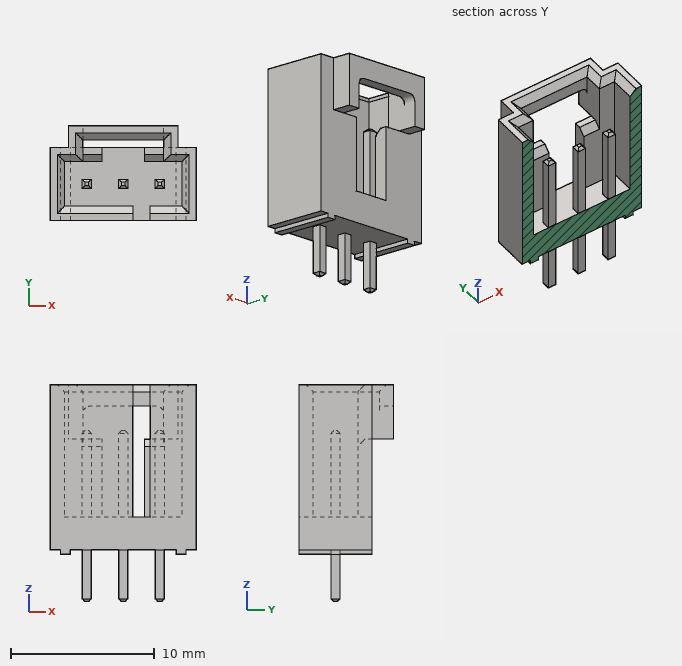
import cadquery as cq


body_width = 10.17
body_depth = 5.1
body_height = 11.5
body_front = -body_depth / 2
body_back = body_depth / 2
wall = 1.0
floor_height = 2.3

hood_width = 7.62
hood_overhang = 1.5
hood_height = 3.8
hood_back = body_back + hood_overhang
hood_bottom = body_height - hood_height

bevel = 0.5

hood_beam_height = 1.5
window_corner_radius = 0.5
latch_slot_width = 2.95
key_slot_width = 1.2

foot_width = 0.7
foot_height = 0.3
foot_spacing = 8.06

pin_count = 3
pin_pitch = 2.54
pin_side = 0.64
pin_tip_side = 0.25
pin_tip_length = 0.2
pin_tail = 3.6
pin_top = 8.3

key_slot_x = pin_pitch / 2
cavity_width = body_width - 2 * wall
hood_cavity_width = hood_width - 2 * wall
cavity_front = body_front + wall
cavity_back = body_back - wall
hood_cavity_back = hood_back - wall


def block(x_center, width, y_front, y_back, z_bottom, z_top):
    """Box centred on x_center with explicit Y and Z limits."""
    return (
        cq.Workplane("XY")
        .box(width, y_back - y_front, z_top - z_bottom, centered=(True, False, False))
        .translate((x_center, y_front, z_bottom))
    )


def beveled_pocket(width, y_front, y_back, z_bottom):
    """Pocket open at the housing top, flaring outwards over the lead-in bevel."""
    shaft = block(0, width, y_front, y_back, z_bottom, body_height)
    depth = y_back - y_front
    mouth = (
        cq.Workplane("XY")
        .workplane(offset=body_height - bevel)
        .center(0, (y_front + y_back) / 2)
        .rect(width, depth)
        .workplane(offset=bevel)
        .rect(width + 2 * bevel, depth + 2 * bevel)
        .loft(ruled=True)
    )
    return shaft.union(mouth)


def make_shell():
    """Housing and hood with the stepped mating cavity."""
    body = block(0, body_width, body_front, body_back, 0, body_height)
    hood = block(0, hood_width, body_front, hood_back, hood_bottom, body_height)
    main_cavity = beveled_pocket(cavity_width, cavity_front, cavity_back, floor_height)
    hood_cavity = beveled_pocket(hood_cavity_width, cavity_front, hood_cavity_back, hood_bottom)
    return body.union(hood).cut(main_cavity).cut(hood_cavity)


def make_latch_window():
    """Opening through the hood back, below its beam, with rounded upper corners."""
    beam_bottom = body_height - hood_beam_height
    opening = block(0, hood_cavity_width, cavity_back, hood_back, hood_bottom, beam_bottom)
    return opening.edges("|Y and >Z").fillet(window_corner_radius)


def make_latch_slot():
    """Slot through the back wall, from the cavity floor up to the hood."""
    return block(0, latch_slot_width, cavity_back, body_back, floor_height, hood_bottom)


def make_ledge_bevel():
    """Wedge that bevels the inner top edge of the back wall under the hood."""
    return (
        cq.Workplane("YZ")
        .moveTo(cavity_back, hood_bottom)
        .lineTo(cavity_back + bevel, hood_bottom)
        .lineTo(cavity_back, hood_bottom - bevel)
        .close()
        .extrude(hood_cavity_width / 2, both=True)
    )


def make_key_slot():
    """Slot through the front wall, from the cavity floor to the top."""
    return block(key_slot_x, key_slot_width, body_front, cavity_front, floor_height, body_height)


def make_foot(x_center):
    """Standoff strip running the full depth of the housing."""
    return block(x_center, foot_width, body_front, body_back, -foot_height, 0)


def pin_tip(x_center, z_base, direction):
    """Tapered pin end pointing up (direction 1) or down (direction -1)."""
    return (
        cq.Workplane("XY")
        .workplane(offset=z_base)
        .center(x_center, 0)
        .rect(pin_side, pin_side)
        .workplane(offset=direction * pin_tip_length)
        .rect(pin_tip_side, pin_tip_side)
        .loft(ruled=True)
    )


def make_pin(x_center):
    """Square pin tapered at both ends."""
    shank_bottom = pin_tip_length - pin_tail
    shank_top = pin_top - pin_tip_length
    shank = block(x_center, pin_side, -pin_side / 2, pin_side / 2, shank_bottom, shank_top)
    upper_tip = pin_tip(x_center, shank_top, 1)
    lower_tip = pin_tip(x_center, shank_bottom, -1)
    return shank.union(upper_tip).union(lower_tip)


result = make_shell()
for cutter in (make_latch_window(), make_latch_slot(), make_ledge_bevel(), make_key_slot()):
    result = result.cut(cutter)

for side in (-1, 1):
    result = result.union(make_foot(side * foot_spacing / 2))

for index in range(pin_count):
    result = result.union(make_pin((index - (pin_count - 1) / 2) * pin_pitch))